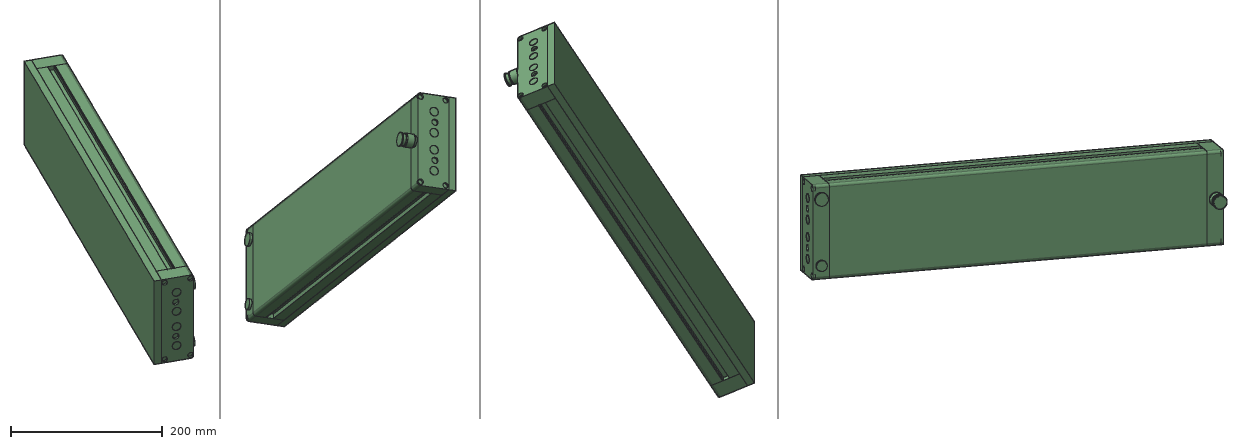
import cadquery as cq

LENGTH = 568.0
HEIGHT = 130.0
PANEL_DEPTH = 10.0
BODY_BACK = 54.5
TOTAL_DEPTH = 76.0
CAP_WIDTH = 23.0
BACK_EDGE_RADIUS = 4.0

GROOVE_FRONT = 25.5
GROOVE_BACK = 36.0
GROOVE_DEPTH = 6.0
LEDGE_WIDTH = 1.5
LEDGE_DEPTH = 1.4

SCREW_DIAMETER = 7.5
SCREW_DEPTH = 3.5
SCREW_Y = (15.0, 50.5)
SCREW_Z = 59.5
PORT_DIAMETER = 12.0
PORT_DEPTH = 0.5
PORT_Y = 31.0
PORT_Z = (12.0, 41.5)
SMALL_HOLE_DIAMETER = 8.5
SMALL_HOLE_DEPTH = 3.5
SMALL_HOLE_Y = 30.0
SMALL_HOLE_Z = 26.5

NECK_DIAMETER = 16.0
SLEEVE_DIAMETER = 19.0
COLLAR_DIAMETER = 18.0
FLANGE_DIAMETER = 19.0
SLEEVE_START = 57.5
SLEEVE_END = 68.0
COLLAR_END = 70.0
FLANGE_START = 74.5

PLUG_HEIGHT = 3.5
PLUG_Z = 45.5
UPPER_PLUG_DIAMETER = 18.0
LOWER_PLUG_DIAMETER = 15.0

BODY_DEPTH = BODY_BACK - PANEL_DEPTH
LEFT_END = -LENGTH / 2
RIGHT_END = LENGTH / 2


def housing_block(x_start, x_length):
    """Block behind the panel with its two long back edges rounded."""
    block = cq.Workplane("XY").box(x_length, BODY_DEPTH, HEIGHT, centered=(False, False, True))
    block = block.edges("|X and >Y").fillet(BACK_EDGE_RADIUS)
    return block.translate((x_start, PANEL_DEPTH, 0))


def back_cylinder(x, z, diameter, y_start, y_end):
    """Cylinder along Y between two depths."""
    axis_start = cq.Vector(x, y_start, z)
    cylinder = cq.Solid.makeCylinder(diameter / 2, y_end - y_start, axis_start, cq.Vector(0, 1, 0))
    return cq.Workplane(cylinder)


def make_panel():
    """Plain front plate covering the full length and height."""
    return cq.Workplane("XY").box(LENGTH, PANEL_DEPTH, HEIGHT, centered=(True, False, True))


def make_profile():
    """Middle section between the caps, with a stepped groove along its top and bottom faces."""
    profile_length = LENGTH - 2 * CAP_WIDTH
    profile = housing_block(LEFT_END + CAP_WIDTH, profile_length)
    ledge_front = GROOVE_BACK - LEDGE_WIDTH
    floor_width = ledge_front - GROOVE_FRONT
    for side in (1, -1):
        for front, width, depth in (
            (GROOVE_FRONT, floor_width, GROOVE_DEPTH),
            (ledge_front, LEDGE_WIDTH, LEDGE_DEPTH),
        ):
            cutter = cq.Workplane("XY").box(profile_length, width, 2 * depth, centered=(True, False, True))
            profile = profile.cut(cutter.translate((0, front, side * HEIGHT / 2)))
    return profile


def cut_end_recesses(cap, end_x, inward):
    """Cut the screw recesses, ports and small holes; inward is the X direction into the cap."""
    screws = [(y, side * SCREW_Z) for y in SCREW_Y for side in (1, -1)]
    ports = [(PORT_Y, side * z) for z in PORT_Z for side in (1, -1)]
    small_holes = [(SMALL_HOLE_Y, side * SMALL_HOLE_Z) for side in (1, -1)]
    for places, diameter, depth in (
        (screws, SCREW_DIAMETER, SCREW_DEPTH),
        (ports, PORT_DIAMETER, PORT_DEPTH),
        (small_holes, SMALL_HOLE_DIAMETER, SMALL_HOLE_DEPTH),
    ):
        cutter = cq.Workplane("YZ", origin=(end_x, 0, 0)).pushPoints(places)
        cap = cap.cut(cutter.circle(diameter / 2).extrude(inward * depth))
    return cap


def make_left_cap():
    """End cap carrying the stepped round connector on its back."""
    cap = housing_block(LEFT_END, CAP_WIDTH)
    cap = cut_end_recesses(cap, LEFT_END, 1)
    connector_x = LEFT_END + CAP_WIDTH / 2
    for diameter, y_start, y_end in (
        (NECK_DIAMETER, BODY_BACK, SLEEVE_START),
        (SLEEVE_DIAMETER, SLEEVE_START, SLEEVE_END),
        (COLLAR_DIAMETER, SLEEVE_END, COLLAR_END),
        (NECK_DIAMETER, COLLAR_END, FLANGE_START),
        (FLANGE_DIAMETER, FLANGE_START, TOTAL_DEPTH),
    ):
        cap = cap.union(back_cylinder(connector_x, 0, diameter, y_start, y_end))
    return cap


def make_right_cap():
    """End cap carrying two round plugs on its back."""
    cap = housing_block(RIGHT_END - CAP_WIDTH, CAP_WIDTH)
    cap = cut_end_recesses(cap, RIGHT_END, -1)
    plug_x = RIGHT_END - CAP_WIDTH / 2
    plug_top = BODY_BACK + PLUG_HEIGHT
    cap = cap.union(back_cylinder(plug_x, PLUG_Z, UPPER_PLUG_DIAMETER, BODY_BACK, plug_top))
    cap = cap.union(back_cylinder(plug_x, -PLUG_Z, LOWER_PLUG_DIAMETER, BODY_BACK, plug_top))
    return cap


panel = make_panel()
profile = make_profile()
left_cap = make_left_cap()
right_cap = make_right_cap()

result = cq.Compound.makeCompound([panel.val(), profile.val(), left_cap.val(), right_cap.val()])